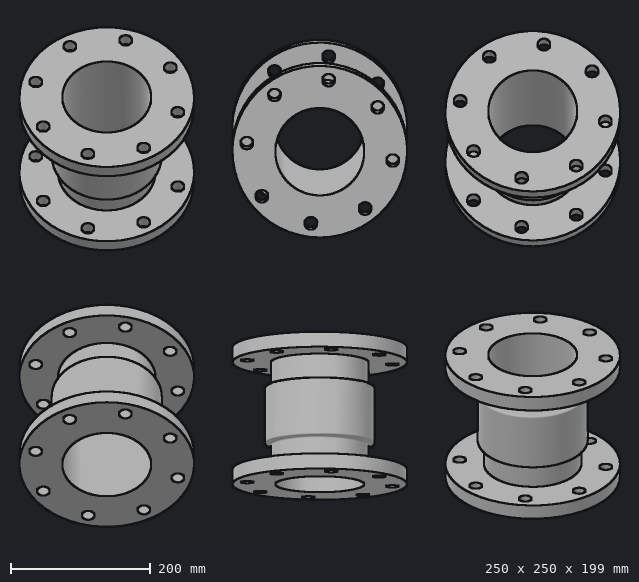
import cadquery as cq
import math

total_height = 199.0
bore_diameter = 127.0

flange_diameter = 250
flange_thickness = 22.0
bolt_circle_diameter = 210
bolt_hole_diameter = 18.0
bolt_count = 8

neck_diameter = 139.8
sleeve_diameter = 157.5
sleeve_length = 84.0
sleeve_corner_radius = 3.0
weld_fillet_radius = 3.0


def cylinder(diameter, bottom, height):
    """Solid cylinder standing on the Z axis."""
    return cq.Workplane("XY").workplane(offset=bottom).circle(diameter / 2).extrude(height)


def flange(bottom):
    """Flange plate with a ring of bolt holes straddling the X and Y axes."""
    half_step = 180 / bolt_count
    bolt_holes = (
        cq.Workplane("XY")
        .workplane(offset=bottom)
        .polarArray(bolt_circle_diameter / 2, half_step, 360, bolt_count)
        .circle(bolt_hole_diameter / 2)
        .extrude(flange_thickness)
    )
    return cylinder(flange_diameter, bottom, flange_thickness).cut(bolt_holes)


def sleeve():
    """Sleeve around the middle of the neck, with both outer rims rounded."""
    body = cylinder(sleeve_diameter, -sleeve_length / 2, sleeve_length)
    return body.edges().fillet(sleeve_corner_radius)


def upper_weld_fillet():
    """Concave fillet that blends the neck into the top face of the sleeve."""
    base = sleeve_length / 2
    neck_radius = neck_diameter / 2
    inset = weld_fillet_radius * (1 - math.sqrt(0.5))
    return (
        cq.Workplane("XZ")
        .moveTo(0, base)
        .lineTo(neck_radius + weld_fillet_radius, base)
        .threePointArc(
            (neck_radius + inset, base + inset),
            (neck_radius, base + weld_fillet_radius),
        )
        .lineTo(0, base + weld_fillet_radius)
        .close()
        .revolve(360, (0, 0, 0), (0, 1, 0))
    )


top = total_height / 2
weld_fillet = upper_weld_fillet()
result = (
    cylinder(neck_diameter, -top, total_height)
    .union(sleeve())
    .union(weld_fillet)
    .union(weld_fillet.mirror("XY"))
    .union(flange(-top))
    .union(flange(top - flange_thickness))
    .cut(cylinder(bore_diameter, -top, total_height))
)